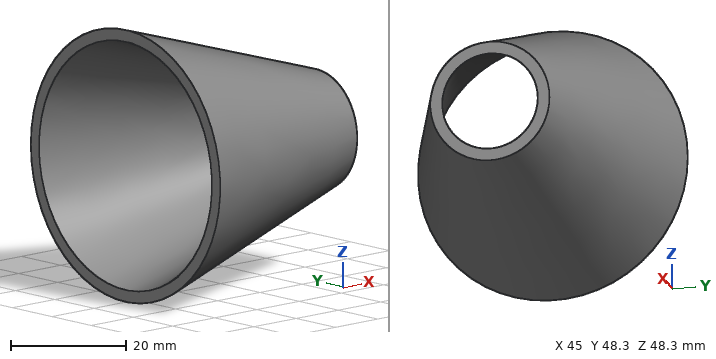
import cadquery as cq

length = 45.0
large_diameter = 48.3
small_diameter = 21.3
wall = 2.13

large_radius = large_diameter / 2
small_radius = small_diameter / 2

wall_section = (
    cq.Workplane("XY")
    .moveTo(0, large_radius - wall)
    .lineTo(0, large_radius)
    .lineTo(length, small_radius)
    .lineTo(length, small_radius - wall)
    .close()
)

result = wall_section.revolve(360, (0, 0, 0), (1, 0, 0))